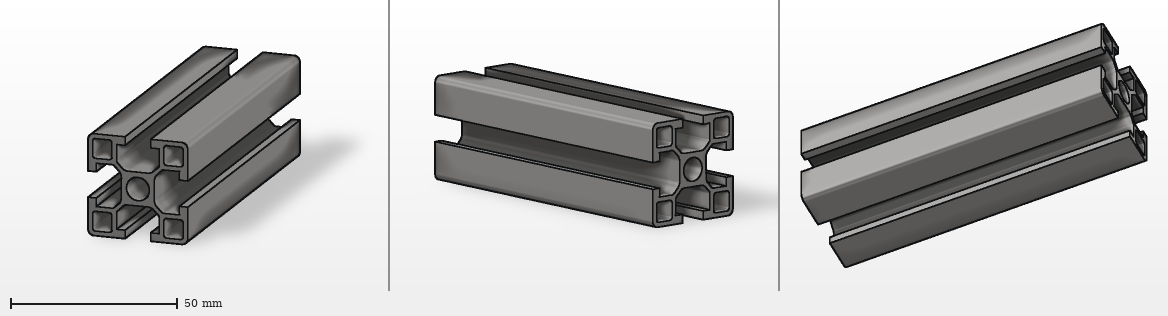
import cadquery as cq
import math

length = 100.0
side = 32.0
outer_radius = 2.0
wall = 1.5

bore_diameter = 7.3

slot_opening = 8.2
slot_width = 13.6
lip_thickness = 2.7
floor_height = 5.3
floor_radius = 2.5
slope_radius = 1.0

cell_radius = 1.0

half_side = side / 2
half_slot = slot_width / 2

web_offset = wall / math.sqrt(2)
half_floor = floor_height - web_offset
slope_top = half_slot + web_offset

cell_inner = half_slot + wall
cell_outer = half_side - wall
cell_size = cell_outer - cell_inner
cell_centre = (cell_inner + cell_outer) / 2


def extrude_profile(sketch):
    """Extrude a profile over the full length, centred on Y = 0."""
    return sketch.extrude(length / 2, both=True)


def make_bar():
    bar = extrude_profile(cq.Workplane("XZ").rect(side, side))
    return bar.edges("|Y").fillet(outer_radius)


def round_edge_pair(body, x, z, radius):
    """Round the two lengthwise edges that lie at (x, z) and (-x, z)."""
    for edge_x in (-x, x):
        nearest_edge = cq.selectors.NearestToPointSelector((edge_x, 0, z))
        body = body.edges("|Y").edges(nearest_edge).fillet(radius)
    return body


def make_slot():
    """T-slot opening towards +Z, with a tapered and rounded bottom."""
    half_opening = slot_opening / 2
    lip_bottom = half_side - lip_thickness
    right_side = [
        (half_floor, floor_height),
        (half_slot, slope_top),
        (half_slot, lip_bottom),
        (half_opening, lip_bottom),
        (half_opening, half_side),
    ]
    left_side = [(-x, z) for x, z in reversed(right_side)]
    slot = extrude_profile(cq.Workplane("XZ").polyline(right_side + left_side).close())
    slot = round_edge_pair(slot, half_floor, floor_height, floor_radius)
    return round_edge_pair(slot, half_slot, slope_top, slope_radius)


def make_cells():
    """Four rounded square cells, one in each corner of the profile."""
    corners = cq.Workplane("XZ").rect(2 * cell_centre, 2 * cell_centre, forConstruction=True)
    cells = extrude_profile(corners.vertices().rect(cell_size, cell_size))
    return cells.edges("|Y").fillet(cell_radius)


def make_bore():
    return extrude_profile(cq.Workplane("XZ").circle(bore_diameter / 2))


result = make_bar().cut(make_cells()).cut(make_bore())
slot = make_slot()
for angle in range(0, 360, 90):
    result = result.cut(slot.rotate((0, 0, 0), (0, 1, 0), angle))